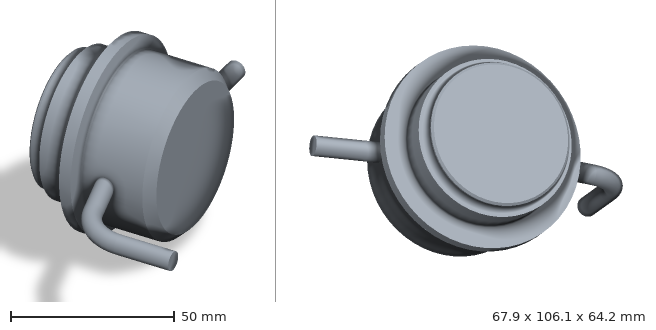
import cadquery as cq
import math

nose_radius = 43.9 / 2
lip_radius = 45.4 / 2
spigot_radius = 50.1 / 2
flange_radius = 64.2 / 2
body_radius = 55.5 / 2

nose_bevel_end = 0.6
lip_end = 1.3
groove_floor_start = 2.9
groove_floor_end = 3.2
spigot_start = 5.1
flange_start = 15.9
flange_end = 20.0
cone_end = 21.3
body_end = 45.8

rear_chamfer = 3.2
spigot_root_fillet = 0.4
cone_root_fillet = 0.5
selection_margin = 0.05

tube_radius = 6.4 / 2
total_length = 67.9
total_width = 106.1
tube_root_y = 21.2
straight_tube_x = 33.0
straight_tube_tip = 49.1
outlet_length = 19.0
bend_radius = 16.2
bend_angle = 75.0


def make_body():
    """Revolve the half profile about X and round the two flange roots."""
    groove_corner_radius = spigot_start - groove_floor_end
    mid_angle = math.radians(90 / 2)
    corner_dx = groove_corner_radius * math.sin(mid_angle)
    corner_dr = groove_corner_radius * (1 - math.cos(mid_angle))
    profile = (
        cq.Workplane("XY")
        .lineTo(0, nose_radius)
        .lineTo(nose_bevel_end, lip_radius)
        .lineTo(lip_end, lip_radius)
        .lineTo(groove_floor_start, nose_radius)
        .lineTo(groove_floor_end, nose_radius)
        .threePointArc(
            (groove_floor_end + corner_dx, nose_radius + corner_dr),
            (spigot_start, nose_radius + groove_corner_radius),
        )
        .lineTo(spigot_start, spigot_radius)
        .lineTo(flange_start, spigot_radius)
        .lineTo(flange_start, flange_radius)
        .lineTo(flange_end, flange_radius)
        .lineTo(cone_end, body_radius)
        .lineTo(body_end - rear_chamfer, body_radius)
        .lineTo(body_end, body_radius - rear_chamfer)
        .lineTo(body_end, 0)
        .close()
    )
    body = profile.revolve(360, (0, 0, 0), (1, 0, 0))
    body = fillet_circle(body, flange_start, spigot_radius, spigot_root_fillet)
    return fillet_circle(body, cone_end, body_radius, cone_root_fillet)


def fillet_circle(body, x, radius, fillet_radius):
    """Fillet the circular edge of the given radius at station x."""
    half_side = radius + selection_margin
    selector = cq.selectors.BoxSelector(
        (x - selection_margin, -half_side, -half_side),
        (x + selection_margin, half_side, half_side),
        boundingbox=True,
    )
    return body.edges(selector).fillet(fillet_radius)


def make_straight_tube():
    """Straight tube leaving the body along +Y."""
    return (
        cq.Workplane("XZ", origin=(straight_tube_x, straight_tube_tip, 0))
        .circle(tube_radius)
        .extrude(straight_tube_tip - tube_root_y)
    )


def make_bent_tube():
    """Inclined tube on the -Y side, bent to run parallel to X."""
    outlet_y = straight_tube_tip - total_width + tube_radius
    bend_end_x = total_length - outlet_length
    center_y = outlet_y + bend_radius

    def on_bend(angle):
        """Centreline point of the bend, turned by angle degrees from the outlet."""
        turn = math.radians(angle)
        return (bend_end_x - bend_radius * math.sin(turn), center_y - bend_radius * math.cos(turn))

    bend_start = on_bend(bend_angle)
    rise = -tube_root_y - bend_start[1]
    root_x = bend_start[0] - rise / math.tan(math.radians(bend_angle))
    path = (
        cq.Workplane("XY")
        .moveTo(total_length, outlet_y)
        .lineTo(bend_end_x, outlet_y)
        .threePointArc(on_bend(bend_angle / 2), bend_start)
        .lineTo(root_x, -tube_root_y)
    )
    return cq.Workplane("YZ", origin=(total_length, outlet_y, 0)).circle(tube_radius).sweep(path)


result = make_body().union(make_straight_tube()).union(make_bent_tube())